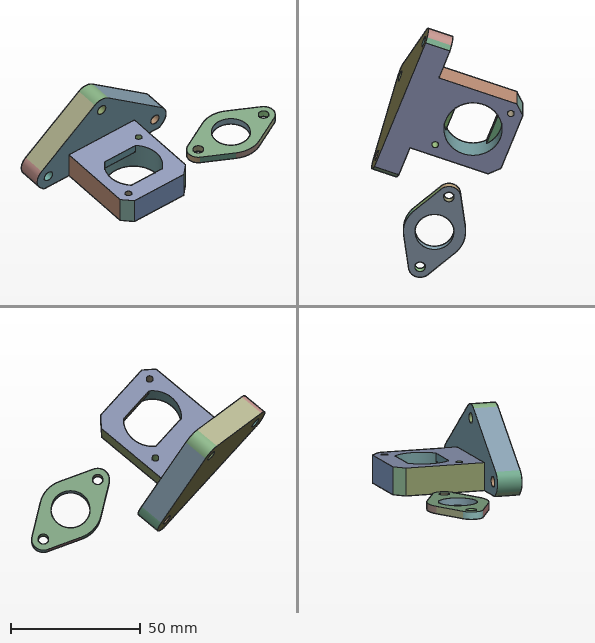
import cadquery as cq
import math


plate_thickness = 10.0
lower_hole_spacing = 52.0
corner_radius = 5.5
plate_height = 31.0
plate_hole_diameter = 4.0
lower_hole_z = corner_radius
upper_hole_z = plate_height - corner_radius

arm_tip_x = 46.0
arm_width = 32.0
arm_height = 11.0
arm_chamfer = 3.9

bore_diameter = 22.5
flat_spacing = 16.6
lip_height = 3.3
bore_x = arm_tip_x - arm_width / 2

screw_hole_diameter = 2.6
screw_hole_offset = 11.3

flange_x = 31.4
flange_thickness = 3.0
flange_hub_radius = 12.0
flange_end_radius = 4.5
flange_bore_diameter = 15.0
flange_hole_diameter = 4.0
flange_hole_offset = 16.0
overall_length = 98.5
plate_end_y = -lower_hole_spacing / 2 - corner_radius
flange_y = plate_end_y + overall_length - flange_hole_offset - flange_end_radius


def polar(center, radius, angle):
    """Point on a circle, with the angle in radians."""
    return (center[0] + radius * math.cos(angle), center[1] + radius * math.sin(angle))


def make_plate():
    """Rounded triangle whose lower corners run into the base along 45 degree tangents."""
    half_spacing = lower_hole_spacing / 2
    left = (-half_spacing, lower_hole_z)
    right = (half_spacing, lower_hole_z)
    top = (0, upper_hole_z)

    slope_normal = math.atan2(half_spacing, upper_hole_z - lower_hole_z)
    base_normal = math.radians(-45)
    corner_middle = (slope_normal + base_normal) / 2
    base_half_width = half_spacing + corner_radius * math.sqrt(2) - lower_hole_z

    outline = (
        cq.Workplane("YZ")
        .moveTo(-base_half_width, 0)
        .lineTo(base_half_width, 0)
        .lineTo(*polar(right, corner_radius, base_normal))
        .threePointArc(
            polar(right, corner_radius, corner_middle),
            polar(right, corner_radius, slope_normal),
        )
        .lineTo(*polar(top, corner_radius, slope_normal))
        .threePointArc((0, plate_height), polar(top, corner_radius, math.pi - slope_normal))
        .lineTo(*polar(left, corner_radius, math.pi - slope_normal))
        .threePointArc(
            polar(left, corner_radius, math.pi - corner_middle),
            polar(left, corner_radius, math.pi - base_normal),
        )
        .close()
    )
    return outline.extrude(plate_thickness), [left, right, top]


def make_arm():
    """Block reaching out from the plate, with its two tip corners chamfered."""
    arm_length = arm_tip_x - plate_thickness
    return (
        cq.Workplane("XY")
        .box(arm_length, arm_width, arm_height, centered=(False, True, False))
        .translate((plate_thickness, 0, 0))
        .edges("|Z and >X")
        .chamfer(arm_chamfer)
    )


def make_bore():
    """Cutting tool: a full circle below the lip and a circle with two flats through it."""
    lip_z = arm_height - lip_height
    bore_center = cq.Workplane("XY").center(bore_x, 0)
    round_part = bore_center.circle(bore_diameter / 2).extrude(lip_z)
    between_flats = bore_center.rect(flat_spacing, bore_diameter).extrude(arm_height)
    flatted_part = bore_center.circle(bore_diameter / 2).extrude(arm_height).intersect(between_flats)
    return round_part.union(flatted_part)


def make_bracket():
    plate, plate_hole_centers = make_plate()
    plate_holes = (
        cq.Workplane("YZ")
        .pushPoints(plate_hole_centers)
        .circle(plate_hole_diameter / 2)
        .extrude(plate_thickness)
    )
    screw_holes = (
        cq.Workplane("XY")
        .center(bore_x, 0)
        .pushPoints([
            (-screw_hole_offset, screw_hole_offset),
            (screw_hole_offset, -screw_hole_offset),
        ])
        .circle(screw_hole_diameter / 2)
        .extrude(arm_height)
    )
    return plate.union(make_arm()).cut(plate_holes).cut(make_bore()).cut(screw_holes)


def make_flange():
    """Flat diamond: a round hub joined by tangent lines to two smaller round ends."""
    tangent_angle = math.asin((flange_hub_radius - flange_end_radius) / flange_hole_offset)
    end_center = (0, flange_hole_offset)
    hub_x, hub_y = polar((0, 0), flange_hub_radius, tangent_angle)
    end_x, end_y = polar(end_center, flange_end_radius, tangent_angle)
    tip_y = flange_hole_offset + flange_end_radius
    hole_centers = [(0, -flange_hole_offset), (0, flange_hole_offset)]

    outline = (
        cq.Workplane("XY")
        .moveTo(hub_x, -hub_y)
        .threePointArc((flange_hub_radius, 0), (hub_x, hub_y))
        .lineTo(end_x, end_y)
        .threePointArc((0, tip_y), (-end_x, end_y))
        .lineTo(-hub_x, hub_y)
        .threePointArc((-flange_hub_radius, 0), (-hub_x, -hub_y))
        .lineTo(-end_x, -end_y)
        .threePointArc((0, -tip_y), (end_x, -end_y))
        .close()
    )
    bore = cq.Workplane("XY").circle(flange_bore_diameter / 2).extrude(flange_thickness)
    holes = (
        cq.Workplane("XY")
        .pushPoints(hole_centers)
        .circle(flange_hole_diameter / 2)
        .extrude(flange_thickness)
    )
    flange = outline.extrude(flange_thickness).cut(bore).cut(holes)
    return flange.translate((flange_x, flange_y, 0))


bracket = make_bracket()
flange = make_flange()

result = cq.Compound.makeCompound([bracket.val(), flange.val()])